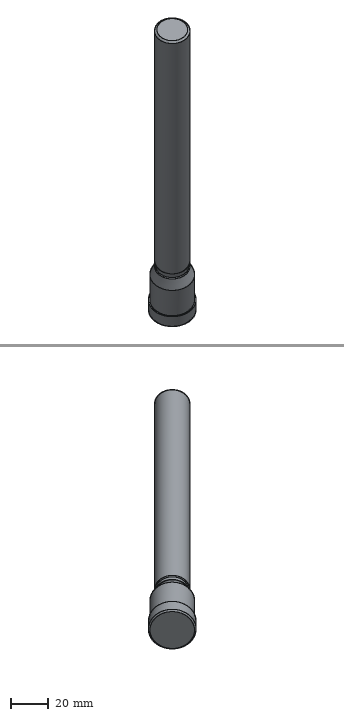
import cadquery as cq

total_length = 216.0
ring_diameter = 25.5
sleeve_diameter = 24.0
rod_diameter = 19.0
neck_diameter = 18.0

ring_height = 8.5
cone_bottom = 27.9
cone_top = 34.1
rod_bottom = 38.0

rod_chamfer_width = 1.3
rod_chamfer_height = 0.9
ring_chamfer = 0.9

neck_step = (rod_diameter - neck_diameter) / 2


def make_shank():
    """Turned rod with a neck, a conical shoulder and a wide sleeve, resting on the ring."""
    rod_radius = rod_diameter / 2
    neck_radius = neck_diameter / 2
    sleeve_radius = sleeve_diameter / 2
    profile = [
        (0, ring_height),
        (sleeve_radius, ring_height),
        (sleeve_radius, cone_bottom),
        (rod_radius, cone_top),
        (neck_radius, cone_top + neck_step),
        (neck_radius, rod_bottom - neck_step),
        (rod_radius, rod_bottom),
        (rod_radius, total_length - rod_chamfer_height),
        (rod_radius - rod_chamfer_width, total_length),
        (0, total_length),
    ]
    return cq.Workplane("XZ").polyline(profile).close().revolve(360, (0, 0), (0, 1))


def make_end_ring():
    """Disc under the sleeve with a chamfered bottom edge."""
    disc = cq.Workplane("XY").circle(ring_diameter / 2).extrude(ring_height)
    return disc.faces("<Z").chamfer(ring_chamfer)


shank = make_shank()
end_ring = make_end_ring()

result = cq.Compound.makeCompound([shank.val(), end_ring.val()])